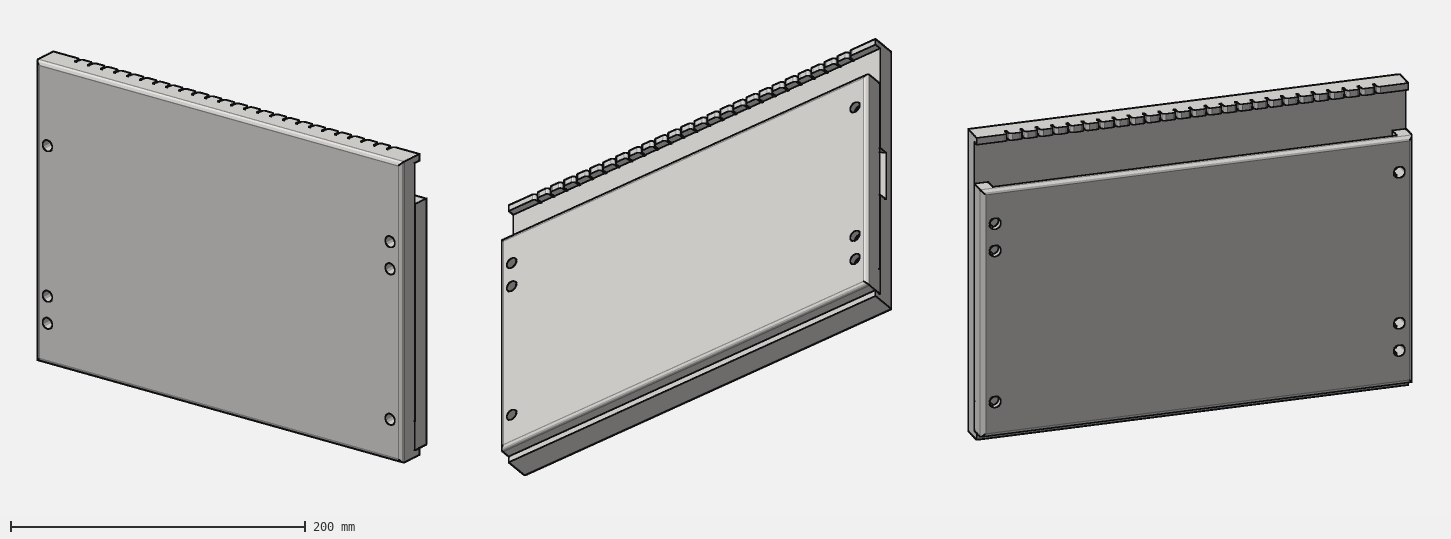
import cadquery as cq

WIDTH = 310.0
HEIGHT = 220.0
DEPTH = 30.0

PANEL_THICKNESS = 15.0
LIP_DEPTH = 20.0
LIP_THICKNESS = 5.0
EDGE_RADIUS = 2.98

SLOT_COUNT = 25
SLOT_INSET = 23.0
SLOT_WIDTH = 1.2
SLOT_MOUTH_RADIUS = 2.2
SLOT_DEPTH = 6.0
SLOT_PITCH = (WIDTH - 2 * SLOT_INSET) / (SLOT_COUNT - 1)

NOTCH_HEIGHT = 40.0
NOTCH_DEPTH = 6.8
NOTCH_LENGTH = 7.5

BOX_HEIGHT = 180.0
BOX_BOTTOM = LIP_THICKNESS
BOX_TOP = BOX_BOTTOM + BOX_HEIGHT
BOX_WALL = 10.0
BOX_REAR_WALL = 5.0
CAVITY_RADIUS = 5.0
RELIEF_DEPTH = 0.5
RELIEF_BOTTOM = 26.5

HOLE_DIAMETER = 8.0
HOLE_INSET = 10.0
LEFT_HOLE_HEIGHTS = (30.0, 50.0, 160.0)
RIGHT_HOLE_HEIGHTS = (30.0, 140.0, 160.0)


def block(x_range, y_range, z_range):
    """Axis-aligned block between the given limits."""
    size = [high - low for low, high in (x_range, y_range, z_range)]
    corner = (x_range[0], y_range[0], z_range[0])
    return cq.Workplane("XY").box(*size, centered=False).translate(corner)


def mounting_holes():
    """Cylinders along Y at every mounting hole."""
    left = [(HOLE_INSET, z) for z in LEFT_HOLE_HEIGHTS]
    right = [(WIDTH - HOLE_INSET, z) for z in RIGHT_HOLE_HEIGHTS]
    return cq.Workplane("XZ").pushPoints(left + right).circle(HOLE_DIAMETER / 2).extrude(-DEPTH)


def wire_slot(x):
    """Slot through the top lip with a rounded, flared mouth at the lip's rear edge."""
    half = SLOT_WIDTH / 2
    radius = SLOT_MOUTH_RADIUS
    slot_end = LIP_DEPTH - SLOT_DEPTH
    return (
        cq.Workplane("XY", origin=(x, 0, HEIGHT - LIP_THICKNESS))
        .moveTo(-half, slot_end)
        .lineTo(half, slot_end)
        .lineTo(half, LIP_DEPTH - radius)
        .radiusArc((half + radius, LIP_DEPTH), radius)
        .lineTo(-half - radius, LIP_DEPTH)
        .radiusArc((-half, LIP_DEPTH - radius), radius)
        .close()
        .extrude(LIP_THICKNESS)
    )


def side_notch():
    """Wedge that is deepest at the left side and runs out at the panel's rear face."""
    return (
        cq.Workplane("XY", origin=(0, 0, (HEIGHT - NOTCH_HEIGHT) / 2))
        .moveTo(0, PANEL_THICKNESS)
        .lineTo(0, PANEL_THICKNESS - NOTCH_DEPTH)
        .lineTo(NOTCH_LENGTH, PANEL_THICKNESS)
        .close()
        .extrude(NOTCH_HEIGHT)
    )


def make_panel():
    """Front panel with a lip along its top and bottom edges."""
    panel = block((0, WIDTH), (0, LIP_DEPTH), (0, HEIGHT))
    panel = panel.faces("<Y").edges().fillet(EDGE_RADIUS)
    between_lips = (LIP_THICKNESS, HEIGHT - LIP_THICKNESS)
    panel = panel.cut(block((0, WIDTH), (PANEL_THICKNESS, LIP_DEPTH), between_lips))
    for number in range(SLOT_COUNT):
        panel = panel.cut(wire_slot(SLOT_INSET + number * SLOT_PITCH))
    return panel.cut(side_notch()).cut(mounting_holes())


def box_cavity():
    """Space inside the box, open at the front and top, with rounded lower corners."""
    cavity = block(
        (BOX_WALL, WIDTH - BOX_WALL),
        (PANEL_THICKNESS, DEPTH - BOX_REAR_WALL),
        (BOX_BOTTOM + BOX_WALL, BOX_TOP),
    )
    return cavity.edges("|Y and <Z").fillet(CAVITY_RADIUS)


def make_box():
    """Rear box standing on the panel's bottom lip."""
    box = block((0, WIDTH), (PANEL_THICKNESS, DEPTH), (BOX_BOTTOM, BOX_TOP))
    box = box.faces(">Y").edges().fillet(EDGE_RADIUS)
    relief_depths = (PANEL_THICKNESS, PANEL_THICKNESS + RELIEF_DEPTH)
    relief = block((0, WIDTH), relief_depths, (RELIEF_BOTTOM, BOX_TOP))
    return box.cut(box_cavity()).cut(relief).cut(mounting_holes())


panel = make_panel()
box = make_box()

result = cq.Compound.makeCompound([panel.val(), box.val()])